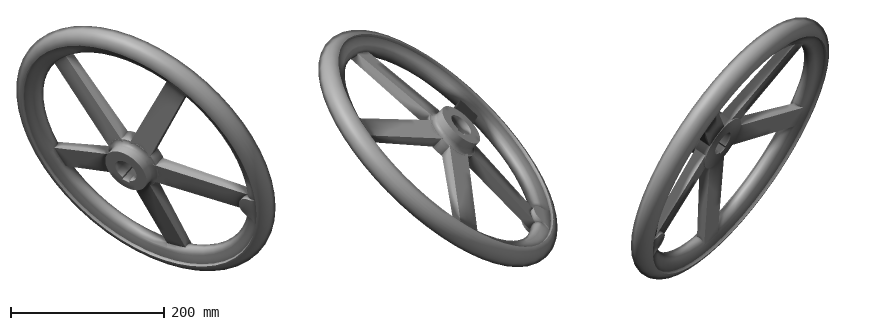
import cadquery as cq
import math

wheel_radius = 200.0
rim_radius = 16.0
crest_radius = wheel_radius - rim_radius
rim_inner_radius = 162.8
rim_step = 3.5
rim_step_draft = 1.0
dish_depth = 2.8
dish_inner_radius = 170.8
inner_half_height = rim_radius - rim_step - dish_depth

hub_front = -46.8
hub_back = -12.0
hub_neck_radius = 32.5
hub_fillet = 6.5
hub_body_radius = hub_neck_radius + hub_fillet
hub_shoulder = -29.0
bore_radius = 16.8
keyway_width = 11.0
keyway_depth = 20.0

spoke_count = 5
spoke_root_width = 32.8
spoke_tip_width = 30.5
spoke_root_thickness = 16.8
spoke_tip_thickness = 12.0
spoke_setback = 0.5
spoke_slope = 0.2
spoke_tip_radius = 168.0

boss_radius = 16.8
boss_centre = dish_inner_radius
boss_fillet = 14.5
boss_half_height = rim_radius - rim_step


def revolve_about_y(profile):
    return profile.close().revolve(360, (0, 0, 0), (0, 1, 0))


def make_rim():
    profile = (
        cq.Workplane("XY")
        .moveTo(crest_radius, -rim_radius)
        .threePointArc((wheel_radius, 0), (crest_radius, rim_radius))
        .lineTo(crest_radius - rim_step_draft, rim_radius - rim_step)
        .lineTo(dish_inner_radius, inner_half_height)
        .threePointArc((rim_inner_radius, 0), (dish_inner_radius, -inner_half_height))
        .lineTo(crest_radius - rim_step_draft, rim_step - rim_radius)
    )
    return revolve_about_y(profile)


def make_hub():
    """Stepped hub with a concave fillet between neck and body."""
    fillet_end = hub_shoulder - hub_fillet
    fillet_mid = hub_fillet * (1 - math.sqrt(0.5))
    profile = (
        cq.Workplane("XY")
        .moveTo(0, hub_front)
        .lineTo(hub_neck_radius, hub_front)
        .lineTo(hub_neck_radius, fillet_end)
        .threePointArc(
            (hub_neck_radius + fillet_mid, hub_shoulder - fillet_mid),
            (hub_body_radius, hub_shoulder),
        )
        .lineTo(hub_body_radius, hub_back)
        .lineTo(0, hub_back)
    )
    return revolve_about_y(profile)


def make_spoke():
    """Spoke along +X, lofted from inside the hub to inside the rim."""
    root_x = bore_radius
    root_front = hub_shoulder + spoke_setback - spoke_slope * (hub_body_radius - root_x)
    tip_front = root_front + spoke_slope * (spoke_tip_radius - root_x)
    root_centre = root_front + spoke_root_thickness / 2
    tip_centre = tip_front + spoke_tip_thickness / 2
    return (
        cq.Workplane("YZ", origin=(root_x, 0, 0))
        .center(root_centre, 0)
        .rect(spoke_root_thickness, spoke_root_width)
        .workplane(offset=spoke_tip_radius - root_x)
        .center(tip_centre - root_centre, 0)
        .rect(spoke_tip_thickness, spoke_tip_width)
        .loft(ruled=True)
    )


def make_boss():
    """Rounded pad on the rim, flaring through concave arcs into the outer band."""
    fillet_reach = boss_radius + boss_fillet
    fillet_x = math.sqrt(crest_radius**2 - fillet_reach**2) - boss_fillet
    fillet_z = math.sqrt(fillet_reach**2 - (fillet_x - boss_centre) ** 2)
    share = boss_radius / fillet_reach
    tangent_x = boss_centre + share * (fillet_x - boss_centre)
    tangent_z = share * fillet_z
    end_x = fillet_x + boss_fillet
    start_angle = math.atan2(tangent_z - fillet_z, tangent_x - fillet_x)
    mid_angle = start_angle / 2
    mid_x = fillet_x + boss_fillet * math.cos(mid_angle)
    mid_z = fillet_z + boss_fillet * math.sin(mid_angle)
    return (
        cq.Workplane("XZ", origin=(0, -boss_half_height, 0))
        .moveTo(end_x, -fillet_z)
        .threePointArc((mid_x, -mid_z), (tangent_x, -tangent_z))
        .threePointArc((boss_centre - boss_radius, 0), (tangent_x, tangent_z))
        .threePointArc((mid_x, mid_z), (end_x, fillet_z))
        .threePointArc((crest_radius, 0), (end_x, -fillet_z))
        .close()
        .extrude(-2 * boss_half_height)
    )


def make_bore():
    length = hub_back - hub_front
    plane = cq.Workplane("XZ", origin=(0, hub_front, 0))
    keyway = plane.center(0, -keyway_depth / 2).rect(keyway_width, keyway_depth).extrude(-length)
    return plane.circle(bore_radius).extrude(-length).union(keyway)


result = make_rim().union(make_hub())
for index in range(spoke_count):
    angle = 360 / spoke_count * index
    result = result.union(make_spoke().rotate((0, 0, 0), (0, 1, 0), angle))
result = result.union(make_boss()).cut(make_bore())